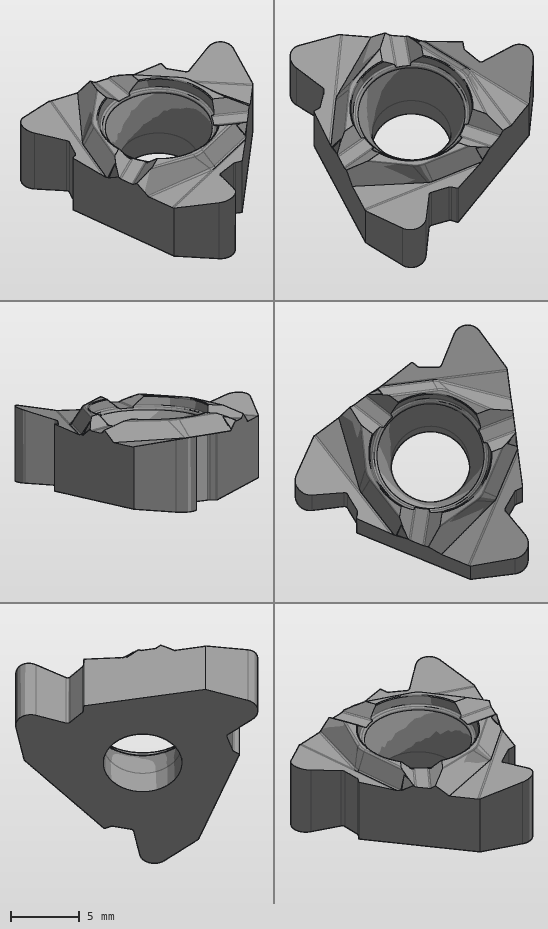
import cadquery as cq
import math

TOOTH_COUNT = 3
PITCH_ANGLE = 360 / TOOTH_COUNT

HEIGHT = 5.84
FLOOR_Z = 4.59
SLOT_FLOOR_Z = 5.07

INSCRIBED_RADIUS = 6.35
FLANK_DISTANCE = 8.40
FLANK_ANGLE = 60
TIP_Y = -9.18
TIP_RADIUS = 1.10
NOTCH_Y = -6.47
NOTCH_HEEL = (0.02, -6.66)
NOTCH_END_X = 0.44
NOTCH_ROUND = 0.25
NOTCH_END_ROUND = 0.08

RAKE_ANGLE = 15
RAKE_START_Y = -5.68
RAKE_ROUND = 0.5

WALL_TOP = dict(distance=4.65, corner_x=-1.57, slant=31.5, corner_radius=1.64)
WALL_BASE = dict(distance=5.59, corner_x=-1.08, slant=21.4, corner_radius=1.06)
WALL_FOOT_ROUND = 0.2

FACET_CORNERS = [(2.89, -4.87, 5.54), (3.14, -5.44, FLOOR_Z), (4.11, -4.98, 5.28)]
FACET_CUT_HEIGHT = 0.4

PLATEAU_RIM_ROUND = 0.08

SLOT_ANGLE = 194
SLOT_FLOOR_WIDTH = 1.07
SLOT_TOP_WIDTH = 3.0
SLOT_ROUND = 0.2

HOLE_RADIUS = 5.7 / 2
SEAT_RADIUS = 3.88
SEAT_BOTTOM_Z = 1.95
SEAT_TOP_Z = 4.91
LIP_ROUND = 0.18
RECESS_TOP_RADIUS = 4.41
RECESS_FLOOR_RADIUS = 4.2
RECESS_FOOT_ROUND = 0.15
RECESS_FLOOR_Z = SEAT_TOP_Z + LIP_ROUND

REACH = 12.0


def turn(point, degrees):
    """Rotate a point in the XY plane about the origin."""
    c = math.cos(math.radians(degrees))
    s = math.sin(math.radians(degrees))
    return (c * point[0] - s * point[1], s * point[0] + c * point[1])


def toward(start, end, length):
    """Point at a given length from start on the way to end."""
    span = math.dist(start, end)
    return tuple(a + (b - a) * length / span for a, b in zip(start, end))


def repeat(shape):
    """One copy of the shape for each tooth, joined."""
    copies = shape
    for k in range(1, TOOTH_COUNT):
        copies = copies.union(shape.rotate((0, 0, 0), (0, 0, 1), k * PITCH_ANGLE))
    return copies


def rounded_outline(corners, z):
    """Closed wire through (point, radius) corners; a radius of 0 keeps the corner sharp."""
    path = []
    for i, (corner, radius) in enumerate(corners):
        before = corners[i - 1][0]
        after = corners[(i + 1) % len(corners)][0]
        if radius == 0:
            path.append((corner, corner, corner))
            continue
        to_before = math.atan2(before[1] - corner[1], before[0] - corner[0])
        to_after = math.atan2(after[1] - corner[1], after[0] - corner[0])
        half = abs(math.remainder(to_after - to_before, 2 * math.pi)) / 2
        start = toward(corner, before, radius / math.tan(half))
        end = toward(corner, after, radius / math.tan(half))
        chord_middle = ((start[0] + end[0]) / 2, (start[1] + end[1]) / 2)
        middle = toward(corner, chord_middle, radius / math.sin(half) - radius)
        path.append((start, middle, end))

    wire = cq.Workplane("XY", origin=(0, 0, z)).moveTo(*path[0][2])
    for start, middle, end in path[1:] + path[:1]:
        wire = wire.lineTo(*start)
        if start != end:
            wire = wire.threePointArc(middle, end)
    return wire.wire()


def tooth_corners():
    """Outline corners of one tooth, from its leading root to the end of its notch."""
    slope = math.tan(math.radians(FLANK_ANGLE))
    normal_x = math.sin(math.radians(FLANK_ANGLE))
    normal_y = math.cos(math.radians(FLANK_ANGLE))
    root = (-INSCRIBED_RADIUS, -(FLANK_DISTANCE - normal_x * INSCRIBED_RADIUS) / normal_y)
    apex_y = TIP_Y + TIP_RADIUS - TIP_RADIUS / normal_y
    apex = (root[0] + (root[1] - apex_y) / slope, apex_y)
    notch = (apex[0] + (NOTCH_Y - apex_y) / slope, NOTCH_Y)
    side_normal = turn((-1, 0), PITCH_ANGLE)
    end_y = (INSCRIBED_RADIUS - side_normal[0] * NOTCH_END_X) / side_normal[1]
    return [
        (root, 0),
        (apex, TIP_RADIUS),
        (notch, NOTCH_ROUND),
        (NOTCH_HEEL, NOTCH_ROUND),
        ((NOTCH_END_X, end_y), NOTCH_END_ROUND),
    ]


def outline_prism():
    """Full-height prism over the triangle with its three teeth."""
    corners = []
    for k in range(TOOTH_COUNT):
        corners += [(turn(p, k * PITCH_ANGLE), radius) for p, radius in tooth_corners()]
    return rounded_outline(corners, 0).extrude(HEIGHT)


def rake_wedge():
    """Material above the floor that rises towards the tooth tip."""
    rake = math.radians(RAKE_ANGLE)
    tangent = RAKE_ROUND * math.tan(rake / 2)
    end_y = -REACH
    end_z = FLOOR_Z + (RAKE_START_Y - end_y) * math.tan(rake)
    return (
        cq.Workplane("YZ", origin=(-REACH, 0, 0))
        .moveTo(RAKE_START_Y + tangent, FLOOR_Z)
        .radiusArc(
            (RAKE_START_Y - tangent * math.cos(rake), FLOOR_Z + tangent * math.sin(rake)),
            RAKE_ROUND,
        )
        .lineTo(end_y, end_z)
        .lineTo(end_y, 0)
        .lineTo(RAKE_START_Y + tangent, 0)
        .close()
        .extrude(2 * REACH)
    )


def wall_outline(z, distance, corner_x, slant, corner_radius):
    """Closed outline of the chip-breaker walls at one height."""
    inner = (corner_x, -distance)
    along = (-math.cos(math.radians(slant)), math.sin(math.radians(slant)))
    normal = turn((0, -1), -PITCH_ANGLE)
    gap = distance - normal[0] * inner[0] - normal[1] * inner[1]
    run = gap / (normal[0] * along[0] + normal[1] * along[1])
    outer = (inner[0] + run * along[0], inner[1] + run * along[1])
    corners = []
    for k in range(TOOTH_COUNT):
        corners.append((turn(outer, k * PITCH_ANGLE), 0))
        corners.append((turn(inner, k * PITCH_ANGLE), corner_radius))
    return rounded_outline(corners, z).val()


def floor_and_plateau():
    """Flat floor carrying the plateau, with the recess and hole, rounded wall foot and rounded rims."""
    base = wall_outline(FLOOR_Z, **WALL_BASE)
    top = wall_outline(HEIGHT, **WALL_TOP)
    walls = cq.Workplane(obj=cq.Solid.makeLoft([base, top], True))
    floor = cq.Workplane("XY").circle(REACH).extrude(FLOOR_Z)
    return (
        floor.union(walls)
        .faces(cq.selectors.NearestToPointSelector((REACH, 0, FLOOR_Z)))
        .edges("not %CIRCLE")
        .fillet(WALL_FOOT_ROUND)
        .cut(recess())
        .faces(">Z")
        .edges()
        .fillet(PLATEAU_RIM_ROUND)
        .cut(hole())
    )


def slot():
    """Trapezoidal groove running outwards from the hole, rounded along its floor."""
    depth = HEIGHT - SLOT_FLOOR_Z
    half_floor = SLOT_FLOOR_WIDTH / 2
    half_top = SLOT_TOP_WIDTH / 2
    return (
        cq.Workplane("YZ", origin=(0, 0, SLOT_FLOOR_Z))
        .polyline([(-half_floor, 0), (half_floor, 0), (half_top, depth), (-half_top, depth)])
        .close()
        .extrude(REACH)
        .edges("|X and <Z")
        .fillet(SLOT_ROUND)
        .rotate((0, 0, 0), (0, 0, 1), SLOT_ANGLE)
    )


def facet_cutter():
    """Thin wedge shaved off the straight wall where it runs into the slot."""
    corners = [cq.Vector(*corner) for corner in FACET_CORNERS]
    outward = (corners[1] - corners[0]).cross(corners[2] - corners[0]).normalized()
    triangle = cq.Wire.makePolygon(corners, close=True)
    return cq.Workplane(obj=cq.Solid.extrudeLinear(triangle, [], outward * FACET_CUT_HEIGHT))


def recess():
    """Conical recess around the hole mouth, rounded along its foot."""
    depth = HEIGHT - RECESS_FLOOR_Z
    cone = cq.Solid.makeCone(
        RECESS_FLOOR_RADIUS, RECESS_TOP_RADIUS, depth, cq.Vector(0, 0, RECESS_FLOOR_Z)
    )
    return cq.Workplane(obj=cone).faces("<Z").edges().fillet(RECESS_FOOT_ROUND)


def hole():
    """Through hole with a flared screw seat and a rounded lip, as one revolved cut."""
    rise = SEAT_TOP_Z - SEAT_BOTTOM_Z
    flare = SEAT_RADIUS - HOLE_RADIUS
    flare_radius = (rise ** 2 + flare ** 2) / (2 * flare)
    lip_radius = SEAT_RADIUS + LIP_ROUND
    return (
        cq.Workplane("XZ")
        .lineTo(HOLE_RADIUS, 0)
        .lineTo(HOLE_RADIUS, SEAT_BOTTOM_Z)
        .radiusArc((SEAT_RADIUS, SEAT_TOP_Z), flare_radius)
        .radiusArc((lip_radius, RECESS_FLOOR_Z), LIP_ROUND)
        .lineTo(0, RECESS_FLOOR_Z)
        .close()
        .revolve(360, (0, 0, 0), (0, 1, 0))
    )


prism = outline_prism()
blank = floor_and_plateau().union(repeat(rake_wedge().intersect(prism))).intersect(prism)
result = blank.cut(repeat(slot())).cut(repeat(facet_cutter()))